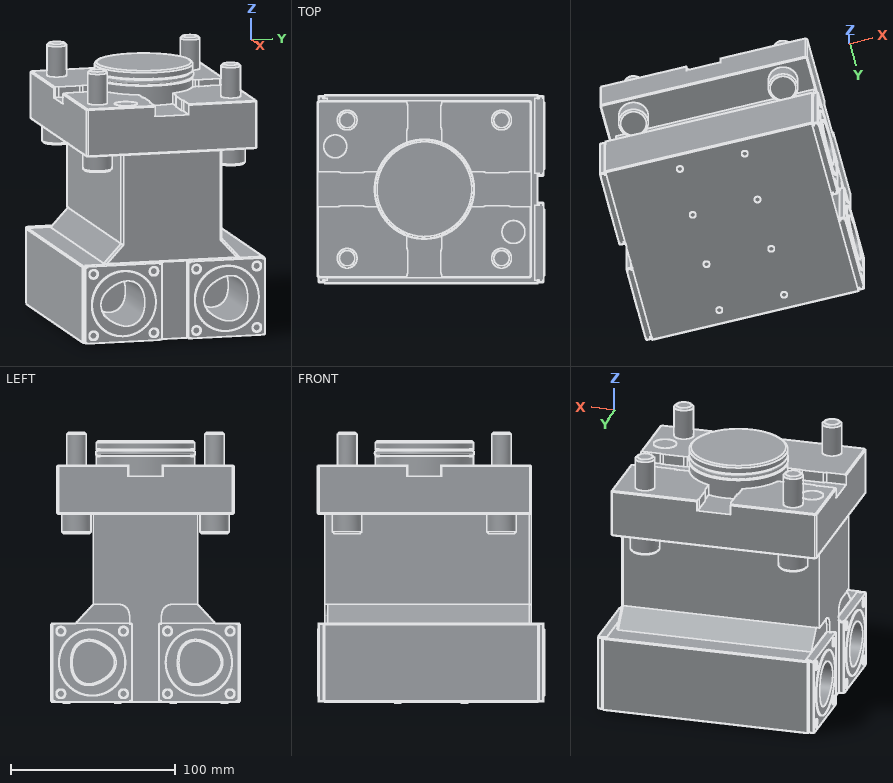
import cadquery as cq
import math


OVERLAP = 1.6

BASE_LEFT = -60.5
BASE_LENGTH = 129.3
BASE_WIDTH = 115.0
FOOT_HEIGHT = 0.7
BASE_TOP = 48.4
EDGE_CHAMFER = 0.7
BASE_MID_X = BASE_LEFT + BASE_LENGTH / 2

COLUMN_RIGHT = 65.0
COLUMN_WIDTH = 63.5
COLUMN_CHAMFER = 1.3
SHOULDER_TOP = 60.0
SHOULDER_WIDTH = 85.2
RELIEF_DEPTH = 2.0
RELIEF_INNER_Y = 9.7
RELIEF_RADIUS = 6.7

PLATE_LENGTH = 130.0
PLATE_WIDTH = 107.6
PLATE_BOTTOM = 114.8
PLATE_TOP = 144.5
PLATE_CORNER_CHAMFER = 1.0
GROOVE_DEPTH = 6.5
GROOVE_WIDTH = 21.4
PAD_HEIGHT = 0.7
PAD_CENTER = 44.1
PAD_TOP_LENGTH = 13.2
PAD_RAMP = 2.0
DOWEL_DIAMETER = 14.0
DOWEL_HEIGHT = 0.2
DOWEL_X = 54.1
DOWEL_Y = 26.0

SPIGOT_DIAMETER = 59.9
SPIGOT_TOP = 159.3
SPIGOT_CHAMFER = 1.2
RING_GROOVE_DIAMETER = 55.1
RING_GROOVE_BOTTOM = 149.9
RING_GROOVE_TOP = 154.3
RING_OUTER_DIAMETER = 60.7
RING_SECTION_RADIUS = 1.5
RING_Z = 151.9

BOLT_DIAMETER = 12.0
BOLT_TOP = 164.5
BOLT_CHAMFER = 1.3
BOLT_HEAD_DIAMETER = 18.0
BOLT_HEAD_BOTTOM = 103.0
BOLT_HEAD_CHAMFER = 1.2
BOLT_X = 46.9
BOLT_Y = 42.0

PORT_Y = 32.4
PORT_Z = 24.7
FLANGE_SIZE_Y = 48.9
FLANGE_SIZE_Z = 47.5
FLANGE_THICKNESS = 2.8
FLANGE_CORNER_CHAMFER = 0.7
FLANGE_FACE_CHAMFER = 0.5
NECK_INSET = 1.6
NECK_GAP = 1.0
RIM_DIAMETER = 40.6
RIM_HEIGHT = 0.5
RIM_CHAMFER = 0.3
FACE_X = BASE_LENGTH / 2 + NECK_GAP + FLANGE_THICKNESS
SCREW_SPACING = 38.0
SCREW_DIAMETER = 5.8
SCREW_INNER_DIAMETER = 4.8
SCREW_DEPTH = 0.5

PORT_MEAN_RADIUS = 13.8
PORT_FLOOR_MEAN_RADIUS = 12.8
PORT_LOBE_HEIGHT = 0.74
PORT_POINTS = 24
PORT_DEPTH = 41.1

FOOT_DIAMETER = 3.8
FOOT_SPACING_X = 40.6
FOOT_SPACING_Y = 31.3


def block(x0, x1, y0, y1, z0, z1):
    return cq.Workplane("XY").box(x1 - x0, y1 - y0, z1 - z0, centered=False).translate((x0, y0, z0))


def cylinder(diameter, z0, z1):
    return cq.Workplane("XY").workplane(offset=z0).circle(diameter / 2).extrude(z1 - z0)


def at_corners(x, y):
    return [(sx * x, sy * y) for sx in (-1, 1) for sy in (-1, 1)]


def make_base():
    half = BASE_WIDTH / 2
    base = block(BASE_LEFT, BASE_LEFT + BASE_LENGTH, -half, half, FOOT_HEIGHT, BASE_TOP)
    return base.edges("|X").chamfer(EDGE_CHAMFER)


def make_column():
    """Column and shoulders share one profile; the -X ends of the shoulders are relieved."""
    half = COLUMN_WIDTH / 2
    low_half = SHOULDER_WIDTH / 2
    overlap_z = BASE_TOP - OVERLAP
    column = (
        cq.Workplane("YZ", origin=(BASE_LEFT, 0, 0))
        .polyline([
            (-low_half, overlap_z),
            (low_half, overlap_z),
            (low_half, BASE_TOP),
            (half, SHOULDER_TOP),
            (half, PLATE_BOTTOM),
            (-half, PLATE_BOTTOM),
            (-half, SHOULDER_TOP),
            (-low_half, BASE_TOP),
        ])
        .close()
        .extrude(COLUMN_RIGHT - BASE_LEFT)
    )
    column = column.faces(">X").edges("not |Y").chamfer(COLUMN_CHAMFER)
    for side in (-1, 1):
        y_edges = sorted((side * RELIEF_INNER_Y, side * low_half))
        relief = block(
            BASE_LEFT, BASE_LEFT + RELIEF_DEPTH, *y_edges, BASE_TOP - RELIEF_RADIUS, SHOULDER_TOP
        )
        inner_edge = "<Y" if side > 0 else ">Y"
        column = column.cut(relief.faces(">Z").edges(inner_edge).fillet(RELIEF_RADIUS))
    return column


def make_groove():
    """Groove along X whose side walls each carry two shallow ramped pads."""
    half_width = GROOVE_WIDTH / 2
    pad_half_width = half_width - PAD_HEIGHT
    reach = PLATE_LENGTH
    top_half = PAD_TOP_LENGTH / 2
    upper_wall = [(-reach, half_width)]
    for center in (-PAD_CENTER, PAD_CENTER):
        upper_wall += [
            (center - top_half - PAD_RAMP, half_width),
            (center - top_half, pad_half_width),
            (center + top_half, pad_half_width),
            (center + top_half + PAD_RAMP, half_width),
        ]
    upper_wall.append((reach, half_width))
    lower_wall = [(x, -y) for x, y in reversed(upper_wall)]
    return (
        cq.Workplane("XY")
        .workplane(offset=PLATE_TOP - GROOVE_DEPTH)
        .polyline(upper_wall + lower_wall)
        .close()
        .extrude(2 * GROOVE_DEPTH)
    )


def make_plate():
    half_x = PLATE_LENGTH / 2
    half_y = PLATE_WIDTH / 2
    plate = block(-half_x, half_x, -half_y, half_y, PLATE_BOTTOM, PLATE_TOP)
    plate = plate.edges("|Z").chamfer(PLATE_CORNER_CHAMFER)
    plate = plate.faces("<Z or >Z").chamfer(EDGE_CHAMFER)
    groove = make_groove()
    plate = plate.cut(groove).cut(groove.rotate((0, 0, 0), (0, 0, 1), 90))
    dowel = cylinder(DOWEL_DIAMETER, PLATE_BOTTOM + OVERLAP, PLATE_TOP + DOWEL_HEIGHT)
    for side in (-1, 1):
        plate = plate.union(dowel.translate((side * DOWEL_X, -side * DOWEL_Y, 0)))
    return plate


def make_spigot():
    spigot = cylinder(SPIGOT_DIAMETER, PLATE_BOTTOM, SPIGOT_TOP).faces(">Z").chamfer(SPIGOT_CHAMFER)
    ring_groove = cylinder(RING_OUTER_DIAMETER, RING_GROOVE_BOTTOM, RING_GROOVE_TOP).cut(
        cylinder(RING_GROOVE_DIAMETER, RING_GROOVE_BOTTOM, RING_GROOVE_TOP)
    )
    ring_radius = RING_OUTER_DIAMETER / 2 - RING_SECTION_RADIUS
    ring = cq.Workplane("XY").add(
        cq.Solid.makeTorus(ring_radius, RING_SECTION_RADIUS, cq.Vector(0, 0, RING_Z))
    )
    return spigot.cut(ring_groove).union(ring)


def make_bolt():
    shank = cylinder(BOLT_DIAMETER, PLATE_BOTTOM, BOLT_TOP).faces(">Z").chamfer(BOLT_CHAMFER)
    head = cylinder(BOLT_HEAD_DIAMETER, BOLT_HEAD_BOTTOM, PLATE_BOTTOM + OVERLAP)
    return shank.union(head.faces("<Z").chamfer(BOLT_HEAD_CHAMFER))


def port_outline(plane, mean_radius):
    """Smooth three-lobed outline with one lobe toward -Y."""
    points = []
    for step in range(PORT_POINTS):
        angle = 2 * math.pi * step / PORT_POINTS
        radius = mean_radius - PORT_LOBE_HEIGHT * math.cos(3 * angle)
        points.append((radius * math.cos(angle), radius * math.sin(angle)))
    return plane.spline(points, periodic=True).wire()


def make_flange():
    """Flange on the +X end, built about the middle of the base and the port axis."""
    def slab(size_y, size_z, x0, x1):
        return block(x0, x1, -size_y / 2, size_y / 2, -size_z / 2, size_z / 2)

    inset = 2 * NECK_INSET
    neck = slab(FLANGE_SIZE_Y - inset, FLANGE_SIZE_Z, BASE_LENGTH / 2 - NECK_INSET, FACE_X)
    plate = slab(FLANGE_SIZE_Y, FLANGE_SIZE_Z, FACE_X - FLANGE_THICKNESS, FACE_X)
    plate = plate.edges("|X").chamfer(FLANGE_CORNER_CHAMFER)
    plate = plate.faces(">X").chamfer(FLANGE_FACE_CHAMFER)
    rim = cq.Workplane("YZ", origin=(FACE_X, 0, 0)).circle(RIM_DIAMETER / 2).extrude(RIM_HEIGHT)
    rim = rim.faces(">X").chamfer(RIM_CHAMFER)
    flange = neck.union(plate).union(rim)
    for y, z in at_corners(SCREW_SPACING / 2, SCREW_SPACING / 2):
        cone = cq.Solid.makeCone(
            SCREW_DIAMETER / 2, SCREW_INNER_DIAMETER / 2, SCREW_DEPTH,
            cq.Vector(FACE_X, y, z), cq.Vector(-1, 0, 0),
        )
        flange = flange.cut(cq.Workplane("XY").add(cone))
    return flange


def make_port():
    mouth = cq.Workplane("YZ", origin=(FACE_X + RIM_HEIGHT, 0, 0))
    floor = port_outline(mouth, PORT_MEAN_RADIUS).workplane(offset=-PORT_DEPTH)
    return port_outline(floor, PORT_FLOOR_MEAN_RADIUS).loft()


def at_ports(shape):
    """Copies of a +X end shape at both ports of both ends."""
    copies = []
    for end in (shape, shape.mirror("YZ")):
        for y in (-PORT_Y, PORT_Y):
            copies.append(end.translate((BASE_MID_X, y, PORT_Z)))
    return copies


result = make_base().union(make_column()).union(make_plate()).union(make_spigot())

for x, y in at_corners(BOLT_X, BOLT_Y):
    result = result.union(make_bolt().translate((x, y, 0)))

for flange in at_ports(make_flange()):
    result = result.union(flange)

for port in at_ports(make_port()):
    result = result.cut(port)

foot = cylinder(FOOT_DIAMETER, 0, FOOT_HEIGHT + OVERLAP)
for port_y in (-PORT_Y, PORT_Y):
    for x, y in at_corners(FOOT_SPACING_X / 2, FOOT_SPACING_Y / 2):
        result = result.union(foot.translate((BASE_MID_X + x, port_y + y, 0)))